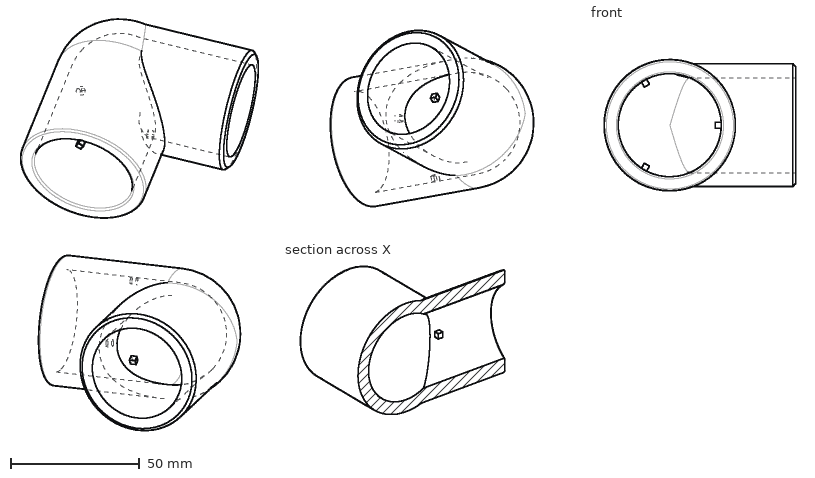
import cadquery as cq

socket_od = 51.0
socket_bore = 40.0
socket_length = 47.4
socket_rim_fillet = 0.8

spigot_od = 47.8
spigot_bore = 36.8
spigot_reach = 49.0
spigot_chamfer = 1.3

spigot_offset = (socket_od - spigot_od) / 2

lug_count = 3
lug_size = 2.3
lug_depth = 26.0
lug_embed = 1.0


def domed_cylinder(diameter):
    """Cylinder along -Y, ending in a half sphere on the +Y side of the origin."""
    radius = diameter / 2
    half_profile = (
        cq.Workplane("XY")
        .moveTo(0, -socket_length)
        .lineTo(-radius, -socket_length)
        .lineTo(-radius, 0)
        .radiusArc((0, radius), radius)
        .close()
    )
    return half_profile.revolve(360, (0, 0, 0), (0, 1, 0))


def spigot_cylinder(diameter):
    """Cylinder along +X, starting on the socket axis plane."""
    plane = cq.Workplane("YZ").center(spigot_offset, 0)
    return plane.circle(diameter / 2).extrude(spigot_reach)


def make_outer():
    socket = domed_cylinder(socket_od)
    spigot = spigot_cylinder(spigot_od).faces(">X").chamfer(spigot_chamfer)
    return socket.union(spigot)


def make_cavity():
    return domed_cylinder(socket_bore).union(spigot_cylinder(spigot_bore))


def make_lug(angle):
    """Square lug on the socket wall, turned about the socket axis."""
    radial_length = lug_size + lug_embed
    center_radius = socket_bore / 2 + lug_embed - radial_length / 2
    center_y = -socket_length + lug_depth + lug_size / 2
    lug = cq.Workplane("XY").box(radial_length, lug_size, lug_size)
    return lug.translate((center_radius, center_y, 0)).rotate((0, 0, 0), (0, 1, 0), angle)


elbow = make_outer().cut(make_cavity())
result = elbow.faces("<Y").edges().fillet(socket_rim_fillet)
for index in range(lug_count):
    result = result.union(make_lug(index * 360 / lug_count))